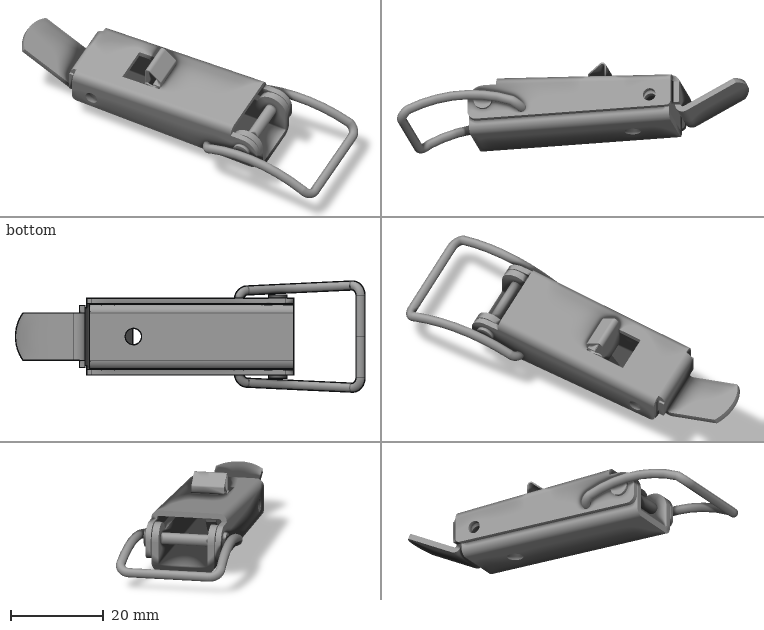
import cadquery as cq
import math


base_length = 44.0
base_width = 13.8
base_thickness = 1.5
base_bend_radius = 1.8
base_wall_height = 7.5
floor_hole_x = 9.4
floor_hole_diameter = 3.5
base_side_hole_z = 4.4
tab_x = 12.9
tab_width = 2.2
tab_angle = 53.0
tab_length = 3.5
tab_thickness = 0.6

ear_radius = 3.5
pin_x = base_length - ear_radius
pin_z = 6.5
pin_diameter = 2.5
pin_head_diameter = 4.0
pin_head_height = 0.7

lever_thickness = 1.2
side_gap = 0.2
lever_inner_width = base_width + 2 * side_gap
lever_width = lever_inner_width + 2 * lever_thickness
lever_bend_radius = 1.7
lever_inner_radius = lever_bend_radius - lever_thickness
lever_slope = math.radians(3.0)
lever_top_at_origin = 9.88
lever_left = -0.65
lever_top_right = 37.7
lever_bottom = 2.45
lever_ear_top = pin_z + ear_radius
lever_left_corner_radius = 1.0
lever_right_corner_radius = 1.8
side_hole_x = 4.0
lever_side_hole_z = 5.1
side_hole_diameter = 2.8
window_left = 9.3
window_right = 18.2
window_width = 8.0

plate_left = -2.2
plate_right = plate_left + lever_thickness
plate_width = 13.4
plate_top = 8.2
bend_width = 12.5
tongue_slope = math.radians(27.0)
tongue_tip_x = -16.0
tongue_corner_z = 0.74
tongue_width = 10.2
tongue_tip_radius = 8.0

spring_thickness = 0.3
spring_x = 14.5
spring_bottom = 5.0
catch_width = 7.2
leaf_width = 7.9
leaf_top = 11.25
leaf_slope = math.radians(15.0)
leaf_bend_radius = 0.7
catch_nose_x = 18.45
catch_nose_z = 12.6
catch_foot_z = 10.9
catch_peak_z = 16.0
catch_foot_left = 16.5
catch_peak_radius = 0.85
catch_nose_radius = 0.45

wire_diameter = 2.0
hook_x = 32.1
hook_z = 4.2
arm_start = (34.3, 9.95, 5.7)
arm_peak = (44.8, 10.45, 7.3)
arm_end = (56.5, 11.0, 4.65)
overall_length = 75.32
crossbar_x = tongue_tip_x + overall_length - wire_diameter / 2
crossbar_z = 3.2
arm_corner_offset = 0.1
wire_bend_radius = 2.2


def prism(points, width):
    """Extrude an XZ outline symmetrically about Y = 0."""
    return cq.Workplane("XZ", origin=(0, width / 2, 0)).polyline(points).close().extrude(width)


def round_corner(body, point, radius):
    """Round the Y-directed edge that passes through an XZ corner point."""
    corner = cq.selectors.NearestToPointSelector((point[0], 0, point[1]))
    return body.edges("|Y").edges(corner).fillet(radius)


def cross_rod(x, z, diameter, length):
    """Cylinder along Y, centred on Y = 0."""
    return cq.Workplane("XZ", origin=(x, length / 2, z)).circle(diameter / 2).extrude(length)


def block(x_range, width, z_range):
    """Box over the given X and Z ranges, centred on Y = 0."""
    x_min, x_max = x_range
    z_min, z_max = z_range
    box = cq.Workplane("XY").box(x_max - x_min, width, z_max - z_min, centered=(False, True, False))
    return box.translate((x_min, 0, z_min))


def make_base():
    inner_width = base_width - 2 * base_thickness
    shell = block((0, base_length), base_width, (0, lever_ear_top))
    shell = shell.edges("|X and <Z").fillet(base_bend_radius)
    cavity = block((0, base_length), inner_width, (base_thickness, lever_ear_top))
    cavity = cavity.edges("|X and <Z").fillet(base_bend_radius - base_thickness)
    channel = shell.cut(cavity)

    walls = block((0, pin_x), base_width, (0, base_wall_height))
    ear_column = block((pin_x - ear_radius, base_length), base_width, (0, pin_z))
    ear = cross_rod(pin_x, pin_z, 2 * ear_radius, base_width)
    channel = channel.intersect(walls.union(ear_column).union(ear))

    channel = channel.cut(cross_rod(pin_x, pin_z, pin_diameter, base_width))
    channel = channel.cut(cross_rod(side_hole_x, base_side_hole_z, side_hole_diameter, base_width))
    floor_hole = cq.Workplane("XY").center(floor_hole_x, 0).circle(floor_hole_diameter / 2)
    channel = channel.cut(floor_hole.extrude(base_thickness))
    return channel.union(make_floor_tab())


def make_floor_tab():
    """Leaning tab that rises from the base floor."""
    tab = cq.Workplane("XY").box(tab_length, tab_width, tab_thickness, centered=(False, True, False))
    tab = tab.translate((0, 0, -tab_thickness)).rotate((0, 0, 0), (0, 1, 0), -tab_angle)
    tab = tab.translate((tab_x, 0, base_thickness))
    root_depth = tab_thickness * math.cos(math.radians(tab_angle))
    root_x = (tab_x, tab_x + tab_thickness)
    return tab.union(block(root_x, tab_width, (base_thickness - root_depth, base_thickness)))


def lever_top(x):
    """Height of the slanted lever top at the given X."""
    return lever_top_at_origin + x * math.tan(lever_slope)


def slanted_bar(width, corner_radius, depth):
    """Long bar with rounded upper edges whose top lies `depth` below the lever top plane."""
    bar = block((-base_length, 2 * base_length), width, (-base_length, -depth))
    bar = bar.edges("|X and >Z").fillet(corner_radius)
    bar = bar.rotate((0, 0, 0), (0, 1, 0), -math.degrees(lever_slope))
    return bar.translate((0, 0, lever_top_at_origin))


def make_lever_channel():
    """Slanted inverted channel, trimmed to the side outline of the lever."""
    shell = slanted_bar(lever_width, lever_bend_radius, 0)
    cavity = slanted_bar(lever_inner_width, lever_inner_radius, lever_thickness)
    above_top = lever_top(base_length)
    bottom_left = (lever_left, lever_bottom)
    bottom_right = (base_length, lever_bottom)
    ear_corner = (base_length, lever_ear_top)
    outline = prism(
        [
            bottom_left,
            bottom_right,
            ear_corner,
            (lever_top_right, lever_ear_top),
            (lever_top_right, above_top),
            (lever_left, above_top),
        ],
        lever_width,
    )
    outline = round_corner(outline, bottom_left, lever_left_corner_radius)
    outline = round_corner(outline, bottom_right, lever_right_corner_radius)
    outline = round_corner(outline, ear_corner, ear_radius)
    return shell.cut(cavity).intersect(outline)


def make_lever_tongue():
    """Strip that bends down from the lever top into the front plate and out into the tongue."""
    rise = math.tan(tongue_slope)
    length = (plate_right - tongue_tip_x) / math.cos(tongue_slope)
    tip_low = (tongue_tip_x, tongue_corner_z + length * math.sin(tongue_slope))
    tip_high = (
        tip_low[0] + lever_thickness * math.sin(tongue_slope),
        tip_low[1] + lever_thickness * math.cos(tongue_slope),
    )
    under_drop = lever_thickness / math.cos(lever_slope)
    joint_x = lever_left + lever_thickness / 2
    top_outer = (plate_left, lever_top(plate_left))
    top_inner = (plate_right, lever_top(plate_right) - under_drop)
    low_outer = (plate_right, tongue_corner_z)
    low_inner = (
        plate_left,
        tongue_corner_z + lever_thickness * (rise + 1 / math.cos(tongue_slope)),
    )
    strip = prism(
        [
            (joint_x, lever_top(joint_x)),
            top_outer,
            low_inner,
            tip_high,
            tip_low,
            low_outer,
            top_inner,
            (joint_x, lever_top(joint_x) - under_drop),
        ],
        plate_width,
    )
    for corner in (top_outer, low_outer):
        strip = round_corner(strip, corner, lever_bend_radius)
    for corner in (top_inner, low_inner):
        strip = round_corner(strip, corner, lever_inner_radius)

    plate_bottom = tongue_corner_z + lever_bend_radius / math.tan((math.pi / 2 - tongue_slope) / 2)
    bend_zone = block((plate_left, joint_x), bend_width, (plate_top, lever_top_at_origin))
    plate_zone = block((plate_left, plate_right), plate_width, (plate_bottom, plate_top))
    low_zone = block((plate_left, plate_right), tongue_width, (0, plate_bottom))
    return strip.intersect(bend_zone.union(plate_zone).union(low_zone).union(make_tongue_zone(tip_low)))


def make_tongue_zone(tip_low):
    """Region that keeps the tongue: narrow, with a round tip square to the tongue."""
    along = (math.cos(tongue_slope), 0, -math.sin(tongue_slope))
    normal = (math.sin(tongue_slope), 0, math.cos(tongue_slope))
    plane = cq.Plane(origin=(tip_low[0], 0, tip_low[1]), xDir=along, normal=normal)
    reach = -2 * tongue_tip_x
    half_width = tongue_width / 2
    shoulder = tongue_tip_radius - math.sqrt(tongue_tip_radius**2 - half_width**2)
    return (
        cq.Workplane(plane)
        .moveTo(shoulder, half_width)
        .threePointArc((0, 0), (shoulder, -half_width))
        .lineTo(reach, -half_width)
        .lineTo(reach, half_width)
        .close()
        .extrude(2 * lever_thickness, both=True)
        .intersect(block((2 * tongue_tip_x, plate_left), tongue_width, (0, lever_ear_top)))
    )


def make_lever(bail):
    lever = make_lever_channel().union(make_lever_tongue())
    window_z = (base_wall_height, lever_top(base_length))
    lever = lever.cut(block((window_left, window_right), window_width, window_z))
    lever = lever.cut(cross_rod(pin_x, pin_z, pin_diameter, lever_width))
    lever = lever.cut(cross_rod(side_hole_x, lever_side_hole_z, side_hole_diameter, lever_width))
    return lever.cut(bail)


def make_pin():
    pin = cross_rod(pin_x, pin_z, pin_diameter, lever_width)
    head_center = (lever_width + pin_head_height) / 2
    for side in (-1, 1):
        head = cross_rod(pin_x, pin_z, pin_head_diameter, pin_head_height)
        pin = pin.union(head.translate((0, side * head_center, 0)))
    return pin


def make_leaf():
    """Wide leaf under the catch: a plate that folds over and falls to the right end of the window."""
    inner_x = spring_x + spring_thickness
    leaf_drop = spring_thickness / math.cos(leaf_slope)

    def leaf_z(x):
        return leaf_top - (x - spring_x) * math.tan(leaf_slope)

    fold_outer = (spring_x, leaf_z(spring_x))
    fold_inner = (inner_x, leaf_z(inner_x) - leaf_drop)
    leaf = prism(
        [
            (spring_x, spring_bottom),
            fold_outer,
            (window_right, leaf_z(window_right)),
            (window_right, leaf_z(window_right) - leaf_drop),
            fold_inner,
            (inner_x, spring_bottom),
        ],
        leaf_width,
    )
    leaf = round_corner(leaf, fold_outer, leaf_bend_radius)
    return round_corner(leaf, fold_inner, leaf_bend_radius - spring_thickness)


def make_catch():
    """Loop of sheet above the lever: upright front, sloping back and curled foot."""
    corners = [
        (spring_x, catch_peak_z),
        (catch_nose_x, catch_nose_z),
        (catch_nose_x, catch_foot_z),
    ]
    loop = prism([(spring_x, catch_foot_z), *corners], catch_width)
    loop = round_corner(loop, corners[0], catch_peak_radius)
    for corner in corners[1:]:
        loop = round_corner(loop, corner, catch_nose_radius)
    inner_outline = loop.faces("<Y").wires().toPending().offset2D(-spring_thickness)
    hollow = inner_outline.extrude(-catch_width, combine=False)
    front_z = (leaf_top - 2 * leaf_bend_radius, catch_nose_z)
    front = block((spring_x, spring_x + spring_thickness), catch_width, front_z)
    return loop.cut(hollow).union(front)


def make_spring():
    """Leaf and catch in one sheet, open behind the foot of the catch where the two part."""
    opening_x = (spring_x + spring_thickness, catch_foot_left)
    opening_z = (spring_bottom, catch_foot_z + 2 * spring_thickness)
    opening = block(opening_x, catch_width, opening_z)
    return make_leaf().union(make_catch()).cut(opening)


def wire_bend(before, corner, after):
    """Start, middle and end of the arc that rounds a corner of the bail's centre line."""
    into = (before - corner).normalized()
    out = (after - corner).normalized()
    half_angle = into.getAngle(out) / 2
    setback = wire_bend_radius / math.tan(half_angle)
    center = corner + (into + out).normalized() * (wire_bend_radius / math.sin(half_angle))
    middle = center + (corner - center).normalized() * wire_bend_radius
    return corner + into * setback, middle, corner + out * setback


def wire_along(*edges):
    """Round wire swept along edges that join smoothly."""
    start = cq.Plane(origin=edges[0].startPoint(), normal=edges[0].tangentAt(0))
    path = cq.Wire.assembleEdges(edges)
    return cq.Workplane(start).circle(wire_diameter / 2).sweep(cq.Workplane(path))


def make_bail():
    """Round wire: hook in the lever wall, bowed arm and half crossbar, mirrored about Y = 0."""
    start, peak, end = (cq.Vector(*point) for point in (arm_start, arm_peak, arm_end))
    hook_tip = cq.Vector(hook_x, lever_inner_width / 2, hook_z)
    hook_corner = cq.Vector(hook_x, start.y - arm_corner_offset, hook_z)
    bar_corner = cq.Vector(crossbar_x, end.y + arm_corner_offset, crossbar_z)
    bar_middle = cq.Vector(crossbar_x, 0, crossbar_z)

    hook_arc = wire_bend(hook_tip, hook_corner, start)
    bar_arc = wire_bend(end, bar_corner, bar_middle)
    half = wire_along(
        cq.Edge.makeLine(hook_tip, hook_arc[0]),
        cq.Edge.makeThreePointArc(*hook_arc),
    )
    half = half.union(wire_along(cq.Edge.makeThreePointArc(hook_arc[2], peak, bar_arc[0])))
    half = half.union(
        wire_along(
            cq.Edge.makeThreePointArc(*bar_arc),
            cq.Edge.makeLine(bar_arc[2], bar_middle),
        )
    )
    for joint in (hook_arc[2], bar_arc[0]):
        ball = cq.Workplane("XY").sphere(wire_diameter / 2).translate(joint)
        half = half.union(ball)
    return half.union(half.mirror("XZ"))


bail = make_bail()
base = make_base()
lever = make_lever(bail)
pin = make_pin()
spring = make_spring()
result = cq.Compound.makeCompound([base.val(), lever.val(), pin.val(), spring.val(), bail.val()])